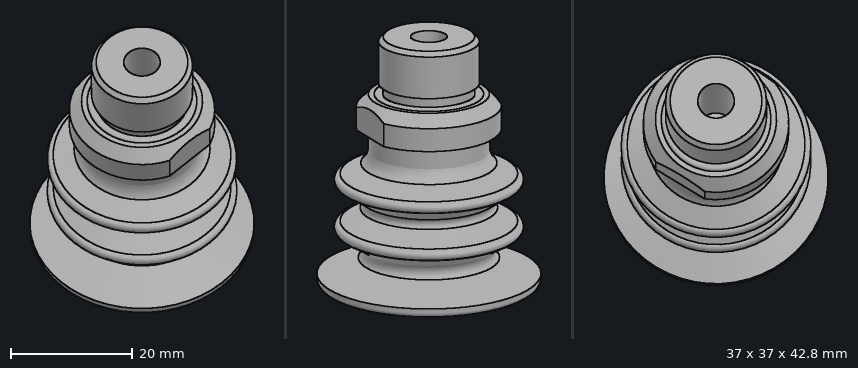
import cadquery as cq
import math

height = 42.8
spigot_radius = 16.65 / 2
spigot_chamfer = 0.75
spigot_bottom = 34.8
groove_radius = 15.15 / 2
bore_radius = 6.0 / 2
bore_depth = 15.95

collar_radius = 12.0
collar_top = 32.83
collar_bottom = 26.85
collar_chamfer = 2.0
bead_radius = 9.05
bead_height = 0.43
across_flats = 22.0

neck_radius = 10.05
neck_bottom = 23.1
shoulder_radius = 11.2
shoulder_bottom = 20.85
shoulder_bulge = 0.2
fold_radius = 15.62
fold_tip = 1.0
upper_fold_z = 18.0
fold_pitch = 8.2
upper_valley_radius = 11.05
upper_valley_edge = 11.35
upper_valley_top = 14.75
upper_valley_bottom = 13.1
lower_valley_radius = 11.15
lower_valley_edge = 11.65
lower_valley_top = 6.85
lower_valley_bottom = 4.4

lip_radius = 37.0 / 2
lip_top = 1.65
lip_round_height = 1.03
lip_round_width = 0.75


def add_fold(profile, z):
    """Run down the outside of one fold, rounded at its tip."""
    center_radius = fold_radius - fold_tip
    return (
        profile.lineTo(center_radius, z + fold_tip)
        .threePointArc((fold_radius, z), (center_radius, z - fold_tip))
    )


def add_valley(profile, edge_radius, root_radius, top, bottom):
    """Run down one rounded valley between two cones."""
    return (
        profile.lineTo(edge_radius, top)
        .threePointArc((root_radius, (top + bottom) / 2), (edge_radius, bottom))
    )


def make_bellows():
    """Neck, two folds and the sealing lip as one turned body."""
    profile = cq.Workplane("XZ").lineTo(0, collar_bottom).lineTo(neck_radius, collar_bottom)
    profile = profile.lineTo(neck_radius, neck_bottom)
    shoulder_middle = (
        (neck_radius + shoulder_radius) / 2 - shoulder_bulge,
        (neck_bottom + shoulder_bottom) / 2,
    )
    profile = profile.threePointArc(shoulder_middle, (shoulder_radius, shoulder_bottom))
    profile = add_fold(profile, upper_fold_z)
    profile = add_valley(
        profile, upper_valley_edge, upper_valley_radius, upper_valley_top, upper_valley_bottom
    )
    profile = add_fold(profile, upper_fold_z - fold_pitch)
    profile = add_valley(
        profile, lower_valley_edge, lower_valley_radius, lower_valley_top, lower_valley_bottom
    )
    profile = profile.lineTo(lip_radius, lip_top).lineTo(lip_radius, lip_round_height)
    diagonal = math.sqrt(0.5)
    round_middle = (
        lip_radius - lip_round_width * (1 - diagonal),
        lip_round_height * (1 - diagonal),
    )
    profile = profile.threePointArc(round_middle, (lip_radius - lip_round_width, 0))
    return profile.close().revolve(360, (0, 0), (0, 1))


def make_collar():
    """Chamfered collar, cut flat on the -X and +X sides."""
    collar = (
        cq.Workplane("XY", origin=(0, 0, collar_bottom))
        .circle(collar_radius)
        .extrude(collar_top - collar_bottom)
        .faces(">Z")
        .chamfer(collar_chamfer)
    )
    flats = cq.Workplane("XY").box(across_flats, 2 * collar_radius, 2 * height)
    return collar.intersect(flats)


def make_spigot():
    """Spigot with a chamfered end, a relief groove and a rounded bead at its foot."""
    bead_middle = ((bead_radius + groove_radius) / 2, bead_height)
    profile = (
        cq.Workplane("XZ", origin=(0, 0, collar_top))
        .moveTo(0, 0)
        .lineTo(bead_radius, 0)
        .threePointArc(bead_middle, (groove_radius, 0))
        .lineTo(groove_radius, spigot_bottom - collar_top)
        .lineTo(spigot_radius, spigot_bottom - collar_top)
        .lineTo(spigot_radius, height - spigot_chamfer - collar_top)
        .lineTo(spigot_radius - spigot_chamfer, height - collar_top)
        .lineTo(0, height - collar_top)
        .close()
    )
    return profile.revolve(360, (0, 0), (0, 1))


bore = cq.Workplane("XY", origin=(0, 0, height)).circle(bore_radius).extrude(-bore_depth)

result = make_bellows().union(make_collar()).union(make_spigot()).cut(bore)